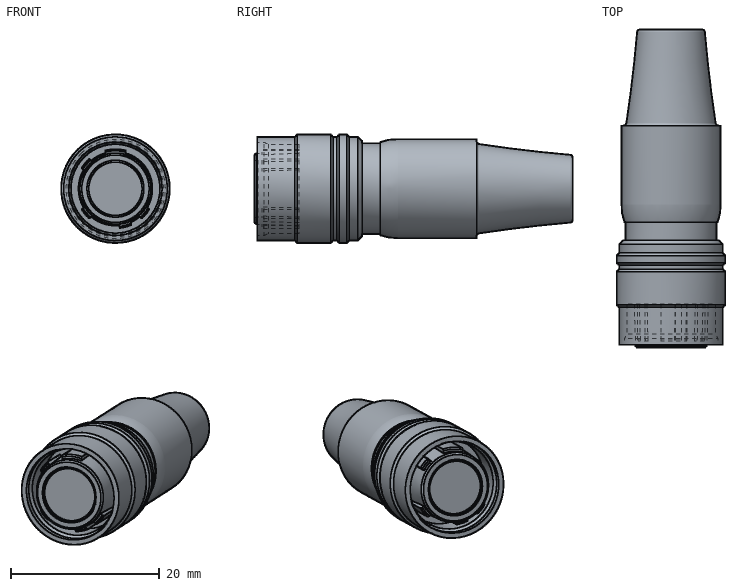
import cadquery as cq
import math

LENGTH = 43.0

SHELL_R = 7.0
BAND_R = 7.35
BAND_CHAMFER = BAND_R - SHELL_R
RIM_Y = 0.4
BAND_START = 5.47
BAND_END = 10.65
GROOVE_FLOOR_WIDTH = 0.5
RIDGE_START = BAND_END + GROOVE_FLOOR_WIDTH
RIDGE_END = 12.83
SHELL_END = 14.55
SHELL_END_CHAMFER = 0.55

NECK_R = 6.15
NECK_END = 17.0
SLEEVE_R = 6.7
SLEEVE_START = 19.4
SLEEVE_END = 30.02
FLARE_R = 6.3
FLARE_BULGE = 0.13
COVE_R = 0.45
BOOT_START_R = 6.03
BOOT_END_R = 4.6
BOOT_SAG = 0.1
BOOT_END_ROUND = 0.4

MOUTH_R = 6.3
BORE_R = 6.0
MOUTH_DEPTH = 0.9
BORE_START_DEPTH = 1.5
MOUTH_END = RIM_Y + MOUTH_DEPTH
BORE_START = RIM_Y + BORE_START_DEPTH
SOCKET_FLOOR = 6.0

INSERT_TIP_R = 4.8
INSERT_ROOT_R = 5.0
INSERT_CHAMFER = 0.25
RECESS_R = 3.85
CORE_R = 3.6
CORE_Y = 0.2

KEY_R = 5.35
KEY_CHAMFER = 0.22
KEY_START = 1.0
KEY_INNER_R = 4.0
MAIN_KEY_ANGLE = 90
MAIN_KEY_WIDTH = 2.75
SMALL_KEY_ANGLES = (140, 220, 285, 320)
SMALL_KEY_WIDTH = 1.6


def revolve(profile):
    """Turn a closed (radius, y) profile about the Y axis."""
    return profile.close().revolve(360, (0, 0, 0), (0, 1, 0))


def outer_body():
    """Shell, neck, sleeve and boot, with a cove where the boot leaves the sleeve."""
    flare_mid = ((FLARE_R + SLEEVE_R) / 2 + FLARE_BULGE, (NECK_END + SLEEVE_START) / 2)
    boot_end = LENGTH - BOOT_END_ROUND
    boot_start = SLEEVE_END + COVE_R
    boot_mid = ((BOOT_START_R + BOOT_END_R) / 2 - BOOT_SAG, (boot_start + boot_end) / 2)
    cove_inset = COVE_R * (1 - math.sqrt(0.5))
    cove_mid = (BOOT_START_R + cove_inset, SLEEVE_END + cove_inset)
    round_inset = BOOT_END_ROUND * (1 - math.sqrt(0.5))
    round_mid = (BOOT_END_R - round_inset, LENGTH - round_inset)
    profile = (
        cq.Workplane("XY")
        .moveTo(0, RIM_Y)
        .lineTo(SHELL_R, RIM_Y)
        .lineTo(SHELL_R, BAND_START)
        .lineTo(BAND_R, BAND_START + BAND_CHAMFER)
        .lineTo(BAND_R, BAND_END - BAND_CHAMFER)
        .lineTo(SHELL_R, BAND_END)
        .lineTo(SHELL_R, RIDGE_START)
        .lineTo(BAND_R, RIDGE_START + BAND_CHAMFER)
        .lineTo(BAND_R, RIDGE_END - BAND_CHAMFER)
        .lineTo(SHELL_R, RIDGE_END)
        .lineTo(SHELL_R, SHELL_END - SHELL_END_CHAMFER)
        .lineTo(SHELL_R - SHELL_END_CHAMFER, SHELL_END)
        .lineTo(NECK_R, SHELL_END)
        .lineTo(NECK_R, NECK_END)
        .lineTo(FLARE_R, NECK_END)
        .threePointArc(flare_mid, (SLEEVE_R, SLEEVE_START))
        .lineTo(SLEEVE_R, SLEEVE_END)
        .lineTo(BOOT_START_R + COVE_R, SLEEVE_END)
        .threePointArc(cove_mid, (BOOT_START_R, boot_start))
        .threePointArc(boot_mid, (BOOT_END_R, boot_end))
        .threePointArc(round_mid, (BOOT_END_R - BOOT_END_ROUND, LENGTH))
        .lineTo(0, LENGTH)
    )
    return revolve(profile)


def socket():
    """Volume cleared out of the shell, widening at its mouth."""
    profile = (
        cq.Workplane("XY")
        .moveTo(0, RIM_Y)
        .lineTo(MOUTH_R, RIM_Y)
        .lineTo(MOUTH_R, MOUTH_END)
        .lineTo(BORE_R, BORE_START)
        .lineTo(BORE_R, SOCKET_FLOOR)
        .lineTo(0, SOCKET_FLOOR)
    )
    return revolve(profile)


def insert():
    """Slightly tapered plug with a bevelled core set just below its tip."""
    profile = (
        cq.Workplane("XY")
        .moveTo(0, CORE_Y)
        .lineTo(CORE_R, CORE_Y)
        .lineTo(RECESS_R, CORE_Y + RECESS_R - CORE_R)
        .lineTo(RECESS_R, 0)
        .lineTo(INSERT_TIP_R - INSERT_CHAMFER, 0)
        .lineTo(INSERT_TIP_R, INSERT_CHAMFER)
        .lineTo(INSERT_ROOT_R, SOCKET_FLOOR)
        .lineTo(0, SOCKET_FLOOR)
    )
    return revolve(profile)


def key(angle, width):
    """Bar along the insert with a rounded top and bevelled front edge."""
    envelope = revolve(
        cq.Workplane("XY")
        .moveTo(KEY_INNER_R, KEY_START)
        .lineTo(KEY_R - KEY_CHAMFER, KEY_START)
        .lineTo(KEY_R, KEY_START + KEY_CHAMFER)
        .lineTo(KEY_R, SOCKET_FLOOR)
        .lineTo(KEY_INNER_R, SOCKET_FLOOR)
    )
    bar = cq.Workplane("XY").box(BORE_R, SOCKET_FLOOR, width, centered=(False, False, True))
    return envelope.intersect(bar).rotate((0, 0, 0), (0, 1, 0), -angle)


result = outer_body().cut(socket()).union(insert())
result = result.union(key(MAIN_KEY_ANGLE, MAIN_KEY_WIDTH))
for small_key_angle in SMALL_KEY_ANGLES:
    result = result.union(key(small_key_angle, SMALL_KEY_WIDTH))